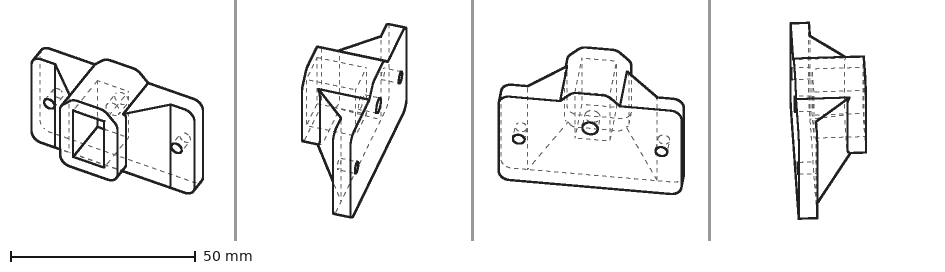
import cadquery as cq

plate_width = 50
plate_height = 30
plate_thickness = 5
corner_radius = 3
screw_hole_diameter = 3.2
screw_hole_spacing = 39

block_width = 17.6
block_bottom = 8.9
block_top = 33.4
block_depth = 19
block_chamfer = 4

pocket_width = 9.5
pocket_height = 16.6
pocket_bottom = 12.8
pocket_center_z = pocket_bottom + pocket_height / 2
pocket_floor = plate_thickness
center_hole_diameter = 4.2

buttress_width = 35.4
buttress_height = 10


def make_plate():
    return (
        cq.Workplane("XZ")
        .rect(plate_width, plate_height)
        .extrude(plate_thickness)
        .edges("|Y")
        .fillet(corner_radius)
        .translate((0, 0, plate_height / 2))
    )


def make_block():
    half_width = block_width / 2
    shoulder_z = block_top - block_chamfer
    crown_half_width = half_width - block_chamfer
    return (
        cq.Workplane("XZ")
        .moveTo(-half_width, block_bottom)
        .lineTo(half_width, block_bottom)
        .lineTo(half_width, shoulder_z)
        .lineTo(crown_half_width, block_top)
        .lineTo(-crown_half_width, block_top)
        .lineTo(-half_width, shoulder_z)
        .close()
        .extrude(block_depth)
        .edges("|Y")
        .fillet(corner_radius)
    )


def buttress_section(workplane, inset):
    """Rectangle inset at the sides and bottom, flush with the plate top."""
    width = buttress_width - 2 * inset
    height = plate_height - inset
    return workplane.center(0, inset / 2).rect(width, height)


def make_buttress():
    base = cq.Workplane("XZ", origin=(0, -plate_thickness, plate_height / 2))
    outline = buttress_section(base, 0)
    tip = buttress_section(outline.workplane(offset=buttress_height), buttress_height)
    return tip.loft(ruled=True)


def make_pocket():
    return (
        cq.Workplane("XZ", origin=(0, -pocket_floor, pocket_center_z))
        .rect(pocket_width, pocket_height)
        .extrude(block_depth - pocket_floor)
    )


def make_holes():
    center_hole = (
        cq.Workplane("XZ", origin=(0, 0, pocket_center_z))
        .circle(center_hole_diameter / 2)
        .extrude(block_depth)
    )
    screw_holes = (
        cq.Workplane("XZ", origin=(0, 0, plate_height / 2))
        .pushPoints([(side * screw_hole_spacing / 2, 0) for side in (-1, 1)])
        .circle(screw_hole_diameter / 2)
        .extrude(plate_thickness)
    )
    return center_hole.union(screw_holes)


body = make_plate().union(make_buttress()).union(make_block())
result = body.cut(make_pocket()).cut(make_holes())